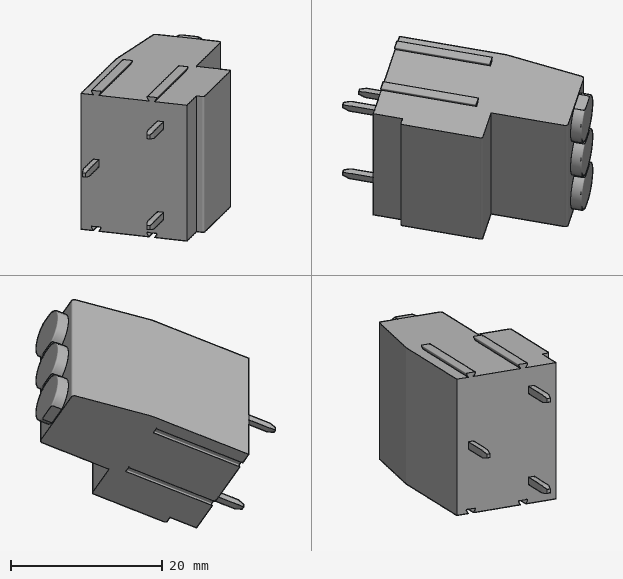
import cadquery as cq


pole_count = 3
stack_height = 19.05
pole_pitch = stack_height / pole_count
depth = 25.5
width = 15.85
tower_right = 10.98
tower_left = 1.6
slope_start = 14.53
shoulder = 15.1
foot_width = 14.8
foot_depth = 3.97
tower_radius = 0.4
block_radius = 0.3

cap_center_x = 6.05
cap_diameter = 6.5
cap_across_flats = 5.9
cap_height = 1.5
cap_radius = 0.2

rail_centers = (2.1, 9.9)
rail_width = 1.47
rail_neck = 0.8
rail_height = 0.6
rail_radius = 0.1
rail_length = 12.95

pin_length = 5.0
pin_taper_x = 0.83
pin_taper_z = 1.02
pin_height = 1.02
pin_tip_width = 0.45
pin_tip_height = 0.55
outer_pin_x = 11.1
outer_pin_width = 0.85
middle_pin_x = 2.1
middle_pin_width = 0.77


def pole_z(index):
    """Mid-height of one pole in the stack."""
    return (index + 0.5) * pole_pitch


def housing():
    outline = [
        (0, 0),
        (foot_width, 0),
        (foot_width, foot_depth),
        (width, foot_depth),
        (width, shoulder),
        (tower_right, shoulder),
        (tower_right, depth),
        (tower_left, depth),
        (0, slope_start),
    ]
    body = cq.Workplane("XY").polyline(outline).close().extrude(stack_height)
    body = body.edges("|Z and >Y").fillet(tower_radius)
    return body.edges("|Z and >X").fillet(block_radius)


def dovetail(center_x, base_z):
    """Bar along Y that is narrow at base_z and wide at its rounded top."""
    profile = [
        (center_x - rail_neck / 2, base_z),
        (center_x + rail_neck / 2, base_z),
        (center_x + rail_width / 2, base_z + rail_height),
        (center_x - rail_width / 2, base_z + rail_height),
    ]
    bar = cq.Workplane("XZ").polyline(profile).close().extrude(-rail_length)
    return bar.faces(">Z").edges("|Y").fillet(rail_radius)


def screw_cap(z):
    """Round cap with a flat on its +Z and -Z sides; only the round stretches of its rim are filleted."""
    plane = cq.Workplane("XZ", origin=(cap_center_x, depth, z))
    disc = plane.circle(cap_diameter / 2).extrude(-cap_height)
    flats = plane.rect(cap_diameter, cap_across_flats).extrude(-cap_height)
    return disc.intersect(flats).faces(">Y").edges("%CIRCLE").fillet(cap_radius)


def pointed_strip(base, tip, taper):
    """Outline of a pin that narrows from base to tip over its last stretch."""
    taper_start = taper - pin_length
    return [
        (-base / 2, 0),
        (-base / 2, taper_start),
        (-tip / 2, -pin_length),
        (tip / 2, -pin_length),
        (base / 2, taper_start),
        (base / 2, 0),
    ]


def pin(x, z, pin_width):
    """Rectangular pin along -Y whose tip narrows in both directions."""
    plan = cq.Workplane("XY", origin=(x, 0, z - pin_height / 2))
    side = cq.Workplane("ZY", origin=(x + pin_width / 2, 0, z))
    across = plan.polyline(pointed_strip(pin_width, pin_tip_width, pin_taper_x)).close()
    upright = side.polyline(pointed_strip(pin_height, pin_tip_height, pin_taper_z)).close()
    return across.extrude(pin_height).intersect(upright.extrude(pin_width))


result = housing()
for center_x in rail_centers:
    result = result.union(dovetail(center_x, stack_height))
    result = result.cut(dovetail(center_x, 0))
for index in range(pole_count):
    z = pole_z(index)
    result = result.union(screw_cap(z))
    if index % 2:
        result = result.union(pin(middle_pin_x, z, middle_pin_width))
    else:
        result = result.union(pin(outer_pin_x, z, outer_pin_width))